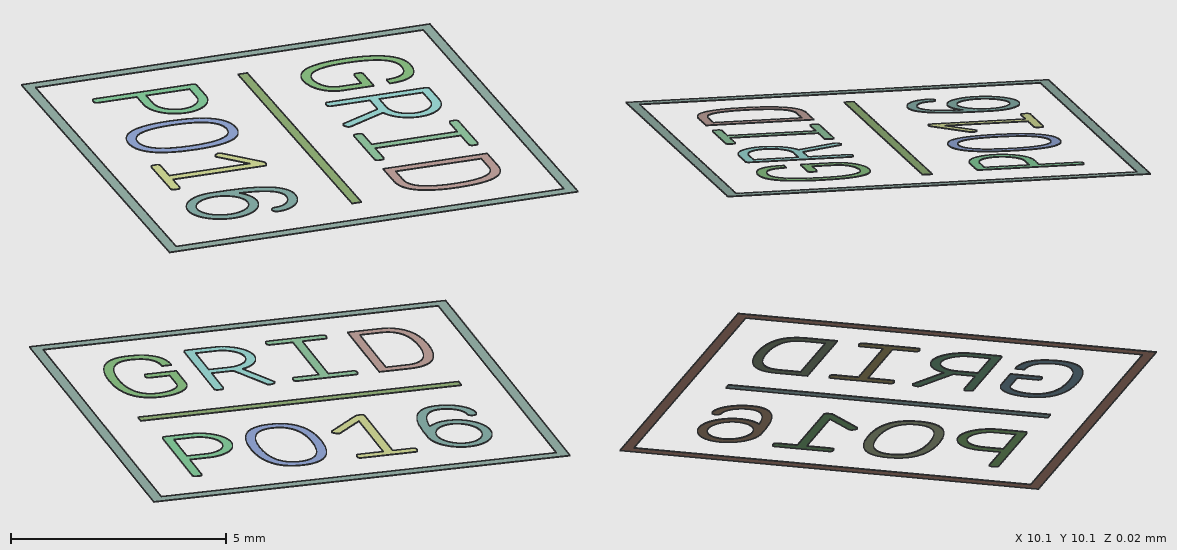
import cadquery as cq
import math


thickness = 0.02
frame_size = 10.1
frame_width = 0.26
divider_length = 7.78
divider_width = 0.235

stroke = 0.23
cap_height = 2.575
overshoot = 0.04
row_gap = 2.45
pitch = 2.03
tip_radius = 0.08
bowl_bottom = 1.04

circular = 0.5523
full = 0.66

upper_baseline = row_gap / 2
lower_baseline = -row_gap / 2 - cap_height
round_top = cap_height + overshoot
round_bottom = -overshoot
half_stroke = stroke / 2


def quarter(start, corner, end, fullness):
    """Bezier points, after the start, of a quarter turn that is tangent to both legs of a corner."""
    def toward_corner(point):
        return tuple(p + (c - p) * fullness for p, c in zip(point, corner))

    return [toward_corner(start), toward_corner(end), end]


def bar(start, end):
    """Straight stroke between two end points, with rounded tips."""
    dx = end[0] - start[0]
    dy = end[1] - start[1]
    return (
        cq.Workplane("XY")
        .box(math.hypot(dx, dy), stroke, thickness, centered=(True, True, False))
        .edges("|Z").fillet(tip_radius)
        .rotate((0, 0, 0), (0, 0, 1), math.degrees(math.atan2(dy, dx)))
        .translate(((start[0] + end[0]) / 2, (start[1] + end[1]) / 2, 0))
    )


def oval(left, right, bottom, top, fullness):
    """Solid oval that fills the given bounds."""
    x_mid = (left + right) / 2
    y_mid = (bottom + top) / 2
    west, north, east, south = (left, y_mid), (x_mid, top), (right, y_mid), (x_mid, bottom)
    return (
        cq.Workplane("XY").moveTo(*west)
        .bezier(quarter(west, (left, top), north, fullness), includeCurrent=True)
        .bezier(quarter(north, (right, top), east, fullness), includeCurrent=True)
        .bezier(quarter(east, (right, bottom), south, fullness), includeCurrent=True)
        .bezier(quarter(south, (left, bottom), west, fullness), includeCurrent=True)
        .close().extrude(thickness)
    )


def half_round(left, shoulder, right, bottom, top, fullness):
    """Solid with a straight left side, rounded on the right beyond the shoulder."""
    east = (right, (bottom + top) / 2)
    upper_shoulder = (shoulder, top)
    lower_shoulder = (shoulder, bottom)
    return (
        cq.Workplane("XY").moveTo(left, bottom).lineTo(*lower_shoulder)
        .bezier(quarter(lower_shoulder, (right, bottom), east, fullness), includeCurrent=True)
        .bezier(quarter(east, (right, top), upper_shoulder, fullness), includeCurrent=True)
        .lineTo(left, top).close().extrude(thickness)
    )



def letter_g():
    left, right = -0.835, 0.84
    x_mid = 0.02
    left_mid = cap_height / 2
    opening_y = 1.8
    bar_top = 1.41
    bar_left = 0.045
    lower_turn = 0.62
    inner_left, inner_right = left + stroke, right - stroke
    inner_top, inner_bottom = round_top - stroke, round_bottom + stroke

    outer_top, outer_west, outer_base = (x_mid, round_top), (left, left_mid), (x_mid, round_bottom)
    inner_crown, inner_west, inner_base = (x_mid, inner_top), (inner_left, left_mid), (x_mid, inner_bottom)
    arm_outer, arm_inner = (right, opening_y), (inner_right, opening_y)
    turn_outer, turn_inner = (right, lower_turn), (inner_right, lower_turn)
    body = (
        cq.Workplane("XY").moveTo(*arm_outer)
        .bezier(quarter(arm_outer, (right, round_top), outer_top, full), includeCurrent=True)
        .bezier(quarter(outer_top, (left, round_top), outer_west, full), includeCurrent=True)
        .bezier(quarter(outer_west, (left, round_bottom), outer_base, full), includeCurrent=True)
        .bezier(quarter(outer_base, (right, round_bottom), turn_outer, circular), includeCurrent=True)
        .lineTo(right, bar_top).lineTo(inner_right, bar_top).lineTo(*turn_inner)
        .bezier(quarter(turn_inner, (inner_right, inner_bottom), inner_base, circular), includeCurrent=True)
        .bezier(quarter(inner_base, (inner_left, inner_bottom), inner_west, full), includeCurrent=True)
        .bezier(quarter(inner_west, (inner_left, inner_top), inner_crown, full), includeCurrent=True)
        .bezier(quarter(inner_crown, (inner_right, inner_top), arm_inner, full), includeCurrent=True)
        .close().extrude(thickness)
    )
    bar_y = bar_top - half_stroke
    return body.union(bar((bar_left, bar_y), (right - half_stroke, bar_y)))


def stem_and_bowl(stem_left, right):
    """Upright with a circular-ended bowl on its upper half, shared by P and R."""
    stem_x = stem_left + half_stroke
    shoulder = right - (cap_height - bowl_bottom) / 2
    stem = bar((stem_x, 0), (stem_x, cap_height))
    loop = half_round(stem_x, shoulder, right, bowl_bottom, cap_height, circular)
    opening = half_round(
        stem_left + stroke, shoulder, right - stroke, bowl_bottom + stroke, cap_height - stroke, circular
    )
    return stem.union(loop).cut(opening)


def letter_r():
    leg_top = (0.155, bowl_bottom + half_stroke)
    leg_foot = (0.725, 0.0)
    return stem_and_bowl(-0.675, 0.82).union(bar(leg_top, leg_foot))


def letter_p():
    return stem_and_bowl(-0.675, 0.79)


def letter_i():
    top_half_width = 0.735
    base_half_width = 0.78
    top_y = cap_height - half_stroke
    stem = bar((0, 0), (0, cap_height))
    top = bar((-top_half_width, top_y), (top_half_width, top_y))
    base = bar((-base_half_width, half_stroke), (base_half_width, half_stroke))
    return stem.union(top).union(base)


def letter_d():
    left, shoulder, right = -0.75, 0, 0.83
    outer = half_round(left, shoulder, right, 0, cap_height, full)
    inner = half_round(left + stroke, shoulder, right - stroke, stroke, cap_height - stroke, full)
    return outer.cut(inner)


def digit_zero():
    left, right = -0.93, 0.793
    outer = oval(left, right, round_bottom, round_top, full)
    inner = oval(left + stroke, right - stroke, round_bottom + stroke, round_top - stroke, full)
    return outer.cut(inner)


def digit_one():
    stem_x = 0.06
    base_half_width = 0.73
    flag_top = (0.06, 2.485)
    flag_tip = (-0.81, 1.66)
    stem = bar((stem_x, 0), (stem_x, cap_height))
    base = bar((-base_half_width, half_stroke), (base_half_width, half_stroke))
    return stem.union(base).union(bar(flag_top, flag_tip))


def digit_six():
    left, right = -0.835, 0.685
    x_mid = (left + right) / 2
    loop_top = 1.66
    hook_right = 0.68
    hook_end = 1.92
    hook_start = (round_bottom + loop_top) / 2
    side_top = 1.2
    inner_left = left + stroke
    inner_right = hook_right - stroke
    inner_top = round_top - stroke

    side, crown, tip = (left, side_top), (x_mid, round_top), (hook_right, hook_end)
    inner_side, inner_crown, inner_tip = (inner_left, side_top), (x_mid, inner_top), (inner_right, hook_end)
    hook = (
        cq.Workplane("XY").moveTo(left, hook_start).lineTo(*side)
        .bezier(quarter(side, (left, round_top), crown, full), includeCurrent=True)
        .bezier(quarter(crown, (hook_right, round_top), tip, circular), includeCurrent=True)
        .threePointArc((hook_right - half_stroke, hook_end - half_stroke), inner_tip)
        .bezier(quarter(inner_tip, (inner_right, inner_top), inner_crown, circular), includeCurrent=True)
        .bezier(quarter(inner_crown, (inner_left, inner_top), inner_side, full), includeCurrent=True)
        .lineTo(inner_left, hook_start).close().extrude(thickness)
    )
    loop = oval(left, right, round_bottom, loop_top, circular)
    opening = oval(left + stroke, right - stroke, round_bottom + stroke, loop_top - stroke, circular)
    return hook.union(loop).cut(opening)


def make_frame():
    opening = frame_size - 2 * frame_width
    return cq.Workplane("XY").rect(frame_size, frame_size).rect(opening, opening).extrude(thickness)


def make_divider():
    return cq.Workplane("XY").rect(divider_length, divider_width).extrude(thickness)


def make_row(characters, baseline):
    """Place characters in evenly spaced cells centred on x = 0."""
    first_cell = -pitch * (len(characters) - 1) / 2
    return [
        character.translate((first_cell + index * pitch, baseline, 0))
        for index, character in enumerate(characters)
    ]


upper_row = make_row([letter_g(), letter_r(), letter_i(), letter_d()], upper_baseline)
lower_row = make_row([letter_p(), digit_zero(), digit_one(), digit_six()], lower_baseline)
bodies = [make_frame(), make_divider()] + upper_row + lower_row

result = cq.Compound.makeCompound([body.val() for body in bodies])